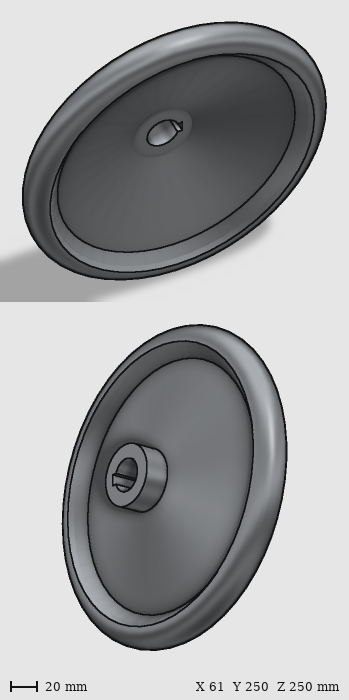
import cadquery as cq
import math

wheel_radius = 125.0
overall_width = 61.0

rim_width = 27.7
tube_radius = rim_width / 2
tube_centre_x = overall_width - tube_radius
tube_centre_radius = wheel_radius - tube_radius

lip_radius = 110.0
step_radius = 106.7
step_x = 36.7
web_outer_radius = 99.0

hub_radius = 49.0 / 2
hub_length = 20.0
web_slope = 0.32
web_outer_x = hub_length + web_slope * (web_outer_radius - hub_radius)
web_thickness = 2 * (tube_centre_x - web_outer_x)

bore_radius = 13.0
keyway_width = 8.5
keyway_reach = 16.2


def mirrored_x(x):
    """Reflect an axial position about the middle plane of the rim."""
    return 2 * tube_centre_x - x


lip_x = tube_centre_x - math.sqrt(tube_radius**2 - (tube_centre_radius - lip_radius) ** 2)
wheel = (
    cq.Workplane("XY")
    .moveTo(0, 0)
    .lineTo(0, hub_radius)
    .lineTo(hub_length, hub_radius)
    .lineTo(web_outer_x, web_outer_radius)
    .lineTo(step_x, step_radius)
    .lineTo(lip_x, lip_radius)
    .threePointArc((tube_centre_x, wheel_radius), (mirrored_x(lip_x), lip_radius))
    .lineTo(mirrored_x(step_x), step_radius)
    .lineTo(mirrored_x(web_outer_x), web_outer_radius)
    .lineTo(hub_length + web_thickness, hub_radius)
    .lineTo(hub_length + web_thickness, 0)
    .close()
    .revolve(360, (0, 0, 0), (1, 0, 0))
)

bore = cq.Workplane("YZ").circle(bore_radius).extrude(overall_width)
keyway = (
    cq.Workplane("YZ")
    .center(keyway_reach / 2, 0)
    .rect(keyway_reach, keyway_width)
    .extrude(overall_width)
)

result = wheel.cut(bore).cut(keyway)